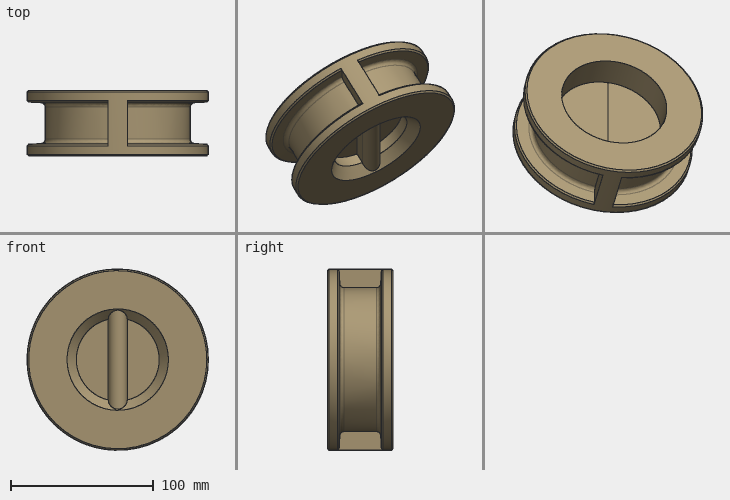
import cadquery as cq


outer_diameter = 127.0
outer_radius = outer_diameter / 2
housing_length = 46.0
inlet_y = -housing_length / 2
outlet_y = housing_length / 2
flange_rim_width = 7.1
flange_chamfer = 1.1
groove_radius = 50.8
groove_corner_radius = 3.0
groove_side_drop = 0.6

bar_width = 13.3
bar_recess = 1.0

mouth_diameter = 71.0
throat_diameter = 58.0
throat_depth = 7.7
seat_depth = 15.5
chamber_diameter = 75.0
seat_y = inlet_y + seat_depth

plate_thickness = 7.6


def disc(diameter, start_y, length):
    """Solid cylinder along +Y from start_y."""
    return cq.Workplane("XZ", origin=(0, start_y, 0)).circle(diameter / 2).extrude(-length)


def make_groove():
    """Ring cut between the flanges, with sloping sides, rounded floor and chamfered rims."""
    rim_half_width = outlet_y - flange_rim_width
    side_half_width = rim_half_width - flange_chamfer
    floor_half_width = side_half_width - groove_side_drop
    ring = (
        cq.Workplane("XY")
        .moveTo(groove_radius, -floor_half_width)
        .lineTo(outer_radius - flange_chamfer, -side_half_width)
        .lineTo(outer_radius, -rim_half_width)
        .lineTo(outer_radius, rim_half_width)
        .lineTo(outer_radius - flange_chamfer, side_half_width)
        .lineTo(groove_radius, floor_half_width)
        .close()
        .revolve(360, (0, 0, 0), (0, 1, 0))
    )
    floor_edges = cq.selectors.RadiusNthSelector(0)
    return ring.edges("%CIRCLE").edges(floor_edges).fillet(groove_corner_radius)


def make_bore():
    """Conical mouth, cylindrical throat and wider plate chamber open to the outlet."""
    return (
        cq.Workplane("XY")
        .moveTo(0, inlet_y)
        .lineTo(mouth_diameter / 2, inlet_y)
        .lineTo(throat_diameter / 2, inlet_y + throat_depth)
        .lineTo(throat_diameter / 2, seat_y)
        .lineTo(chamber_diameter / 2, seat_y)
        .lineTo(chamber_diameter / 2, outlet_y)
        .lineTo(0, outlet_y)
        .close()
        .revolve(360, (0, 0, 0), (0, 1, 0))
    )


def make_bar():
    """Vertical bar with a half-round nose towards the inlet and a flat back on the plates."""
    half_width = bar_width / 2
    nose_y = inlet_y + bar_recess
    shoulder_y = nose_y + half_width
    return (
        cq.Workplane("XY")
        .moveTo(-half_width, seat_y)
        .lineTo(-half_width, shoulder_y)
        .threePointArc((0, nose_y), (half_width, shoulder_y))
        .lineTo(half_width, seat_y)
        .close()
        .extrude(mouth_diameter / 2, both=True)
    )


def make_housing():
    """Grooved ring with its top and bottom bridges, bore and central bar."""
    blank = disc(outer_diameter, inlet_y, housing_length).edges().chamfer(flange_chamfer)
    bridge_gap = cq.Workplane("XY").box(bar_width, housing_length, outer_diameter)
    groove = make_groove().cut(bridge_gap)
    return blank.cut(groove).cut(make_bore()).union(make_bar())


def make_plate(side):
    """Half disc resting on the seat; side is -1 for the -X half and +1 for the +X half."""
    radius = chamber_diameter / 2
    half_space = cq.Workplane("XY").box(radius, housing_length, chamber_diameter)
    half_space = half_space.translate((side * radius / 2, 0, 0))
    return disc(chamber_diameter, seat_y, plate_thickness).intersect(half_space)


housing = make_housing()
plates = [make_plate(side) for side in (-1, 1)]

result = cq.Compound.makeCompound([housing.val(), *[plate.val() for plate in plates]])